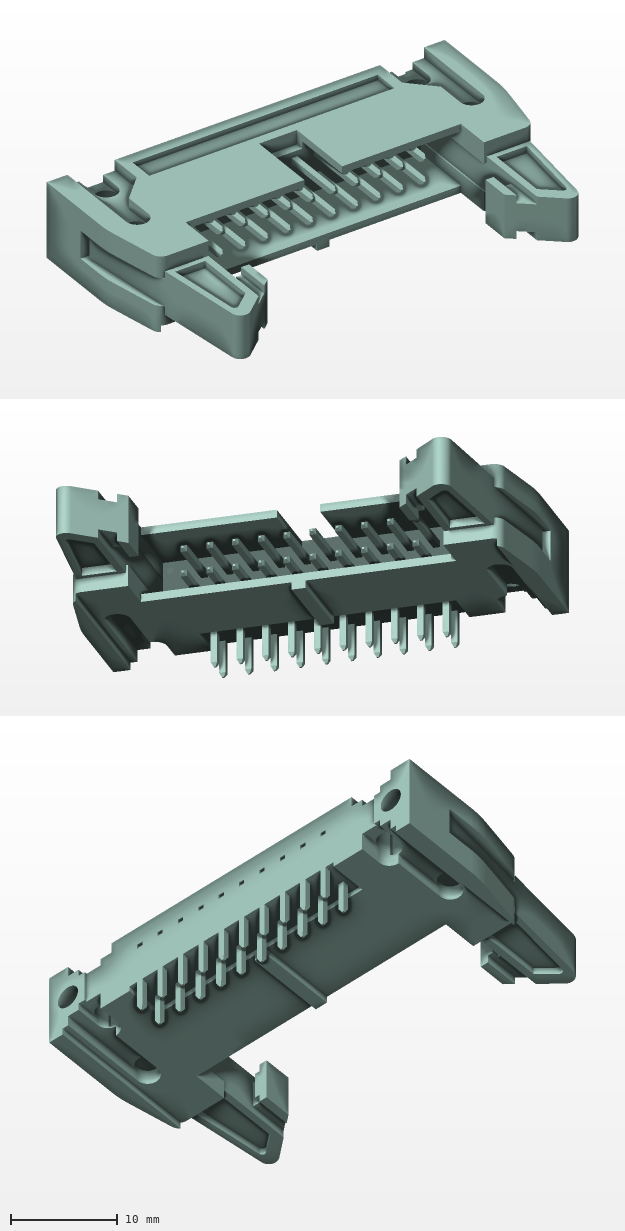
import cadquery as cq
import math


height = 8.4
foot_height = 0.75
back_x = 0.3
mouth_x = 13.1
half_width = 22.45
body_half_width = 15.53
wall = 0.8
cavity_back_x = 6.33
centre_foot_width = 1.36

ear_end_x = 17.0
ear_step_y = 18.05
ear_taper_x = 9.98
ear_taper_angle = 11.0
ear_blend_radius = 10.6
ear_corner_radius = 1.12
ear_foot_width = 1.67

rows = 2
columns = 10
pitch = 2.54
pin_width = 0.64
pin_taper = 0.4
pin_tip_width = 0.2
tail_length = 2.3
back_tail_x = back_x + pin_width / 2
upper_row_z = height - 2.55
tail_recess_length = 4.1
tail_recess_half_width = 12.72
tail_recess_height = 0.57

key_back_x = 5.45
key_width = 4.28
key_depth = 1.6
label_x = 1.61
label_length = 2.81
label_width = 27.66
label_depth = 0.6

bore_diameter = 2.5
bore_radius = bore_diameter / 2
recess_depth = 1.2
pivot_x = 9.9
pivot_y = 18.85
pivot_depth = 1.7
ramp_x = 4.0
ramp_inner_y = 14.97
screw_x = 2.73
screw_y = 17.55
screw_groove_depth = 2.0
window_width = 1.54
window_depth = 1.4
window_end_x = 4.05
back_bore_y = 20.12

latch_z = height - 3.93
latch_thickness = 3.1
grip_thickness = 4.84
slot_back_x = 5.72
latch_inner_y = 15.7
nose_x = 4.65
nose_y = 19.41
shoulder_x = 6.3
shoulder_y = 20.94
grip_x = 17.2
grip_outer_y = 20.58
grip_angle = 6.6
tip_angle = 49.7
tip_radius = 1.0
hook_x = 20.55
hook_neck_x = 21.32
hook_neck_y = 14.8
lip_y = 14.23
hook_inner_y = 13.35
hook_front_x = 23.69
thumb_back_x = 17.77
thumb_outer_y = 19.83
thumb_inner_y = 16.43
thumb_front_x = 24.57
thumb_tip_radius = 0.4
thumb_depth = 0.8


def box(x0, x1, y0, y1, z0, z1):
    """Box between two opposite corners."""
    return cq.Workplane("XY").box(x1 - x0, y1 - y0, z1 - z0, centered=False).translate((x0, y0, z0))


def plate(points, z0, z1):
    """Closed plan outline extruded between two heights."""
    return cq.Workplane("XY").workplane(offset=z0).polyline(points).close().extrude(z1 - z0)


def disc(x, y, z0, z1):
    """Upright cylinder of the common bore diameter."""
    return cq.Workplane("XY").workplane(offset=z0).center(x, y).circle(bore_radius).extrude(z1 - z0)


def round_corner(solid, point, radius):
    """Fillet the upright edge that stands at a plan point."""
    z_mid = solid.val().BoundingBox().center.z
    selector = cq.selectors.NearestToPointSelector((point[0], point[1], z_mid))
    return solid.edges("|Z").edges(selector).fillet(radius)


def both_sides(solid):
    """Pair a +Y side feature with its mirror image."""
    return solid.union(solid.mirror("XZ"))


def channel(x1, y, z0, z1):
    """Round-ended channel running in from the back face."""
    run = box(0, x1, y - bore_radius, y + bore_radius, z0, z1)
    return run.union(disc(x1, y, z0, z1))


def make_ear():
    taper_drop = (ear_end_x - ear_taper_x) * math.tan(math.radians(ear_taper_angle))
    taper_start = (ear_taper_x, half_width)
    corner = (ear_end_x, half_width - taper_drop)
    outline = [
        (0, ear_step_y),
        (0, half_width),
        taper_start,
        corner,
        (ear_end_x, body_half_width),
        (back_x, body_half_width),
        (back_x, ear_step_y),
    ]
    ear = plate(outline, 0, height)
    ear = round_corner(ear, taper_start, ear_blend_radius)
    ear = round_corner(ear, corner, ear_corner_radius)
    return ear.cut(box(0, ear_end_x, 0, half_width - ear_foot_width, 0, foot_height))


def make_ear_recesses():
    """Everything cut from one ear before the latch is put in."""
    slot = box(
        slot_back_x, ear_end_x, body_half_width, half_width,
        latch_z - latch_thickness / 2, latch_z + latch_thickness / 2,
    )
    back_bore = (
        cq.Workplane("YZ").center(back_bore_y, latch_z).circle(bore_radius).extrude(shoulder_x)
    )
    channel_inner_y = pivot_y - bore_radius
    ramp_end_x = ramp_x + channel_inner_y - ramp_inner_y
    ramp_outline = [
        (0, pivot_y),
        (0, ramp_inner_y),
        (ramp_x, ramp_inner_y),
        (ramp_end_x, channel_inner_y),
        (ramp_end_x, pivot_y),
    ]
    top_ramp = plate(ramp_outline, height - recess_depth, height)
    top_channel = channel(pivot_x, pivot_y, height - recess_depth, height)
    bottom_channel = channel(pivot_x, pivot_y, foot_height, foot_height + recess_depth)
    return slot.union(back_bore).union(top_ramp).union(top_channel).union(bottom_channel)


def make_ear_holes():
    """Pivot recesses, screw hole with its grooves, and the window beside the hole."""
    top_groove = channel(screw_x, screw_y, height - screw_groove_depth, height)
    bottom_groove = channel(screw_x, screw_y, foot_height, foot_height + screw_groove_depth)
    window = box(
        screw_x, window_end_x, screw_y - window_width / 2, screw_y + window_width / 2,
        foot_height + window_depth, height - window_depth,
    )
    holes = disc(screw_x, screw_y, 0, height).union(top_groove).union(bottom_groove).union(window)
    holes = holes.union(disc(pivot_x, pivot_y, height - pivot_depth, height))
    return holes.union(disc(pivot_x, pivot_y, foot_height, foot_height + pivot_depth))


def outer_and_tip_meet(x0, y0, x1, y1):
    """Where the sloping outer line through point 0 meets the tip line through point 1."""
    outer_slope = math.tan(math.radians(grip_angle))
    tip_slope = math.tan(math.radians(tip_angle))
    x = (y0 - y1 + outer_slope * x0 + tip_slope * x1) / (outer_slope + tip_slope)
    return x, y0 - outer_slope * (x - x0)


def tip_line_x(y):
    """X of the latch's slanted front face at a given Y."""
    return hook_front_x + (y - hook_inner_y) / math.tan(math.radians(tip_angle))


def make_latch():
    half_arm = latch_thickness / 2
    half_grip = grip_thickness / 2
    arm_rise = (grip_x - shoulder_x) * math.tan(math.radians(grip_angle))
    arm_outline = [
        (nose_x, latch_inner_y),
        (nose_x, nose_y),
        (slot_back_x, shoulder_y),
        (shoulder_x, shoulder_y),
        (shoulder_x, grip_outer_y + arm_rise),
        (grip_x, grip_outer_y),
        (grip_x, latch_inner_y),
    ]
    arm = plate(arm_outline, latch_z - half_arm, latch_z + half_arm)

    tip = outer_and_tip_meet(grip_x, grip_outer_y, hook_front_x, hook_inner_y)
    grip_outline = [
        (grip_x, latch_inner_y),
        (grip_x, grip_outer_y),
        tip,
        (tip_line_x(latch_inner_y), latch_inner_y),
    ]
    grip = plate(grip_outline, latch_z - half_grip, latch_z + half_grip)
    grip = round_corner(grip, tip, tip_radius)

    thumb_tip = outer_and_tip_meet(thumb_back_x, thumb_outer_y, thumb_front_x, thumb_inner_y)
    thumb_outline = [
        (thumb_back_x, thumb_inner_y),
        (thumb_back_x, thumb_outer_y),
        thumb_tip,
        (thumb_front_x, thumb_inner_y),
    ]
    for floor_z in (latch_z + half_grip - thumb_depth, latch_z - half_grip):
        thumb = plate(thumb_outline, floor_z, floor_z + thumb_depth)
        grip = grip.cut(round_corner(thumb, thumb_tip, thumb_tip_radius))

    neck_outline = [
        (hook_neck_x, latch_inner_y),
        (hook_neck_x, hook_neck_y),
        (hook_x, hook_neck_y),
        (hook_x, lip_y),
        (tip_line_x(lip_y), lip_y),
        (tip_line_x(latch_inner_y), latch_inner_y),
    ]
    neck = plate(neck_outline, latch_z - half_arm, latch_z + half_arm)
    lip_outline = [
        (hook_x, hook_inner_y),
        (hook_x, lip_y),
        (tip_line_x(lip_y), lip_y),
        (hook_front_x, hook_inner_y),
    ]
    lip = plate(lip_outline, latch_z - half_grip, latch_z + half_grip)
    return arm.union(grip).union(neck).union(lip)


def make_body():
    body = box(back_x, mouth_x, -body_half_width, body_half_width, foot_height, height)
    half_foot = centre_foot_width / 2
    foot_back_x = back_x + tail_recess_length
    return body.union(box(foot_back_x, mouth_x, -half_foot, half_foot, 0, foot_height))


def make_body_recesses():
    cavity = box(
        cavity_back_x, mouth_x, -body_half_width, body_half_width,
        foot_height + wall, height - wall,
    )
    key = box(key_back_x, mouth_x, -key_width / 2, key_width / 2, height - key_depth, height)
    label = box(
        label_x, label_x + label_length, -label_width / 2, label_width / 2,
        height - label_depth, height,
    )
    tails = box(
        back_x, back_x + tail_recess_length, -tail_recess_half_width, tail_recess_half_width,
        foot_height, foot_height + tail_recess_height,
    )
    return cavity.union(key).union(label).union(tails)


def make_pin(length):
    """Square pin along +Z from the origin, with a tapered point."""
    shank = length - pin_taper
    pin = cq.Workplane("XY").rect(pin_width, pin_width).extrude(shank)
    point = (
        cq.Workplane("XY").workplane(offset=shank)
        .rect(pin_width, pin_width)
        .workplane(offset=pin_taper)
        .rect(pin_tip_width, pin_tip_width)
        .loft()
    )
    return pin.union(point)


def make_bent_pin(row):
    """One contact of a row, centred on Y = 0: mating length plus board tail."""
    tail_x = back_tail_x + row * pitch
    contact_z = upper_row_z - row * pitch
    origin = (0, 0, 0)
    contact = make_pin(mouth_x - tail_x).rotate(origin, (0, 1, 0), 90)
    tail = make_pin(contact_z + tail_length).rotate(origin, (1, 0, 0), 180)
    return contact.union(tail).translate((tail_x, 0, contact_z))


def make_bend_window():
    """Opening in the back face around the rounded bend of an upper-row contact."""
    half_pin = pin_width / 2
    low_z = upper_row_z - half_pin
    opening = box(back_x, back_x + pin_width, -half_pin, half_pin, low_z, low_z + pin_width)
    bend_centre = (back_x + pin_width, half_pin, low_z)
    bend = cq.Workplane("XZ", origin=bend_centre).circle(pin_width).extrude(pin_width)
    return opening.cut(bend)


def along_columns(feature):
    """Copies of a feature at every pin column."""
    places = [(0, (column - (columns - 1) / 2) * pitch) for column in range(columns)]
    return cq.Workplane("XY").pushPoints(places).eachpoint(lambda place: feature.val().moved(place))


housing = make_body().union(both_sides(make_ear()))
housing = housing.cut(make_body_recesses())
housing = housing.cut(both_sides(make_ear_recesses()))
result = housing.union(both_sides(make_latch()))
result = result.cut(both_sides(make_ear_holes()))
for row in range(rows):
    result = result.union(along_columns(make_bent_pin(row)))
result = result.cut(along_columns(make_bend_window()))